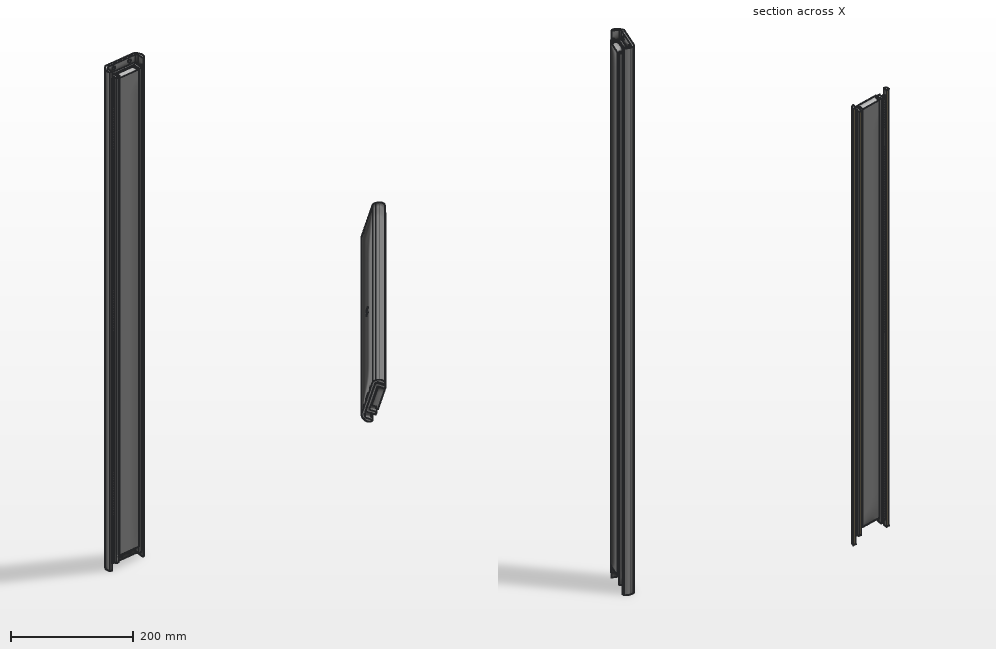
import cadquery as cq
import math

length = 1000.0
overall_width = 75.0
sheet = 5.0
web_half = 30.0
shoulder_x = 3.5
shoulder_y = 34.0
lip_start_x = 9.0
lip_crown_x = 13.0
lip_end_x = 19.0
lip_tip_x = 21.0
lip_radius = 13.0
lip_inside_y = 32.0
lip_root_x = 8.0
web_inside_half = 28.0

end_inset = 14.0
middle_back_x = 6.0
middle_web = 5.0
middle_front_x = 24.0
middle_half = 26.0
middle_inside_half = 21.0

strip_back_x = 17.0
strip_thickness = 2.0

inner_bottom = 29.0
inner_back_x = 14.0
inner_front_x = 26.0
wing_thickness = 4.0
bar_half = 17.0
wing_half = 20.0

corner_hole_diameter = 6.0
corner_hole_spacing = 33.0
end_hole_inset = 7.5
end_sink_mouth = 14.0
end_sink_throat = 5.0
upper_sink_mouth = 9.0
upper_sink_throat = 5.0
lower_sink_mouth = 7.0
lower_sink_throat = 4.0
lower_sink_drop = 25.0

half_width = overall_width / 2
top_z = length - end_inset
middle_z = length / 2
corner_hole_y = corner_hole_spacing / 2


def lip_y(x):
    """Distance of the curved outer face of the lip from the XZ plane."""
    return half_width - lip_radius + math.sqrt(lip_radius**2 - (x - lip_crown_x) ** 2)


def profile(bottom):
    return cq.Workplane("XY").workplane(offset=bottom)


def mirrored(points):
    """Complete a +Y half outline with its reflection in the XZ plane."""
    return points + [(x, -y) for x, y in reversed(points)]


def web_hole(y, z, mouth, throat):
    """A hole through the web, narrowing from its mouth on X = 0 to its throat."""
    return (
        cq.Workplane("YZ")
        .center(y, z)
        .circle(mouth / 2)
        .workplane(offset=sheet)
        .circle(throat / 2)
        .loft()
    )


def make_outer():
    lip_start = (lip_start_x, lip_y(lip_start_x))
    lip_crown = (lip_crown_x, half_width)
    lip_end = (lip_end_x, lip_y(lip_end_x))
    body = (
        profile(0)
        .moveTo(0, -web_half)
        .lineTo(0, web_half)
        .lineTo(shoulder_x, shoulder_y)
        .lineTo(*lip_start)
        .threePointArc(lip_crown, lip_end)
        .lineTo(lip_tip_x, lip_inside_y)
        .lineTo(lip_root_x, lip_inside_y)
        .lineTo(sheet, web_inside_half)
        .lineTo(sheet, -web_inside_half)
        .lineTo(lip_root_x, -lip_inside_y)
        .lineTo(lip_tip_x, -lip_inside_y)
        .lineTo(lip_end[0], -lip_end[1])
        .threePointArc((lip_crown[0], -lip_crown[1]), (lip_start[0], -lip_start[1]))
        .lineTo(shoulder_x, -shoulder_y)
        .close()
        .extrude(length)
    )

    for y in (-corner_hole_y, corner_hole_y):
        for z in (end_hole_inset, length - end_hole_inset):
            corner_hole = cq.Workplane("YZ").center(y, z).circle(corner_hole_diameter / 2).extrude(sheet)
            body = body.cut(corner_hole)

    body = body.cut(web_hole(0, end_hole_inset, end_sink_mouth, end_sink_throat))
    body = body.cut(web_hole(0, middle_z, upper_sink_mouth, upper_sink_throat))
    body = body.cut(web_hole(0, middle_z - lower_sink_drop, lower_sink_mouth, lower_sink_throat))
    return body


def make_middle():
    half_outline = [
        (middle_back_x + middle_web, middle_inside_half),
        (middle_front_x, middle_inside_half),
        (middle_front_x, middle_half),
        (middle_back_x, middle_half),
    ]
    return profile(end_inset).polyline(mirrored(half_outline)).close().extrude(top_z - end_inset)


def make_inner():
    wing_back_x = inner_front_x - wing_thickness
    half_outline = [
        (inner_back_x, bar_half),
        (wing_back_x, bar_half),
        (wing_back_x, wing_half),
        (inner_front_x, wing_half),
    ]
    return profile(inner_bottom).polyline(mirrored(half_outline)).close().extrude(top_z - inner_bottom)


def make_ball_strip(side):
    """One strip; side is +1 for the +Y lip and -1 for the -Y lip."""
    strip_width = lip_inside_y - middle_half
    strip_y = side * (lip_inside_y + middle_half) / 2
    return (
        profile(end_inset)
        .center(strip_back_x + strip_thickness / 2, strip_y)
        .rect(strip_thickness, strip_width)
        .extrude(top_z - end_inset)
    )


outer = make_outer()
middle = make_middle()
inner = make_inner()
ball_strips = [make_ball_strip(side) for side in (1, -1)]

result = cq.Compound.makeCompound(
    [outer.val(), middle.val(), inner.val(), *[strip.val() for strip in ball_strips]]
)